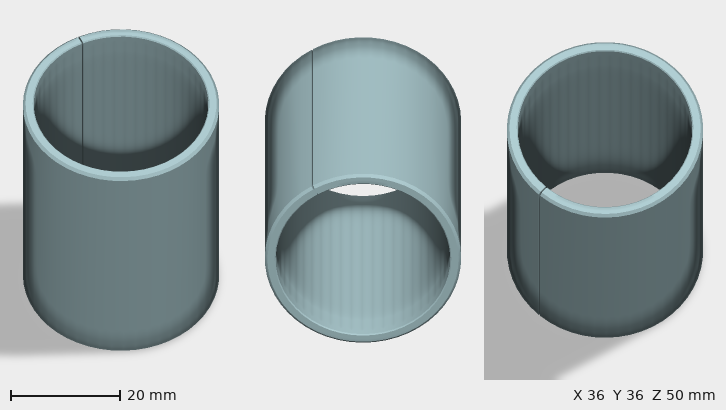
import cadquery as cq

outer_diameter = 36.0
wall = 2.0
length = 50.0
outer_chamfer = 0.5
inner_chamfer = 0.2
slit_angle = 1.0

outer_radius = outer_diameter / 2
inner_radius = outer_radius - wall
half_length = length / 2


def wall_section():
    """Wall profile on the -X side of the XZ plane, chamfered at all four corners."""
    return (
        cq.Workplane("XZ")
        .moveTo(-inner_radius, -half_length + inner_chamfer)
        .lineTo(-inner_radius - inner_chamfer, -half_length)
        .lineTo(-outer_radius + outer_chamfer, -half_length)
        .lineTo(-outer_radius, -half_length + outer_chamfer)
        .lineTo(-outer_radius, half_length - outer_chamfer)
        .lineTo(-outer_radius + outer_chamfer, half_length)
        .lineTo(-inner_radius - inner_chamfer, half_length)
        .lineTo(-inner_radius, half_length - inner_chamfer)
        .close()
    )


def split_bushing():
    """Revolve the wall about Z, stopping short of a full turn to leave the slit open."""
    return wall_section().revolve(360 - slit_angle, (0, 0, 0), (0, 1, 0))


result = split_bushing()